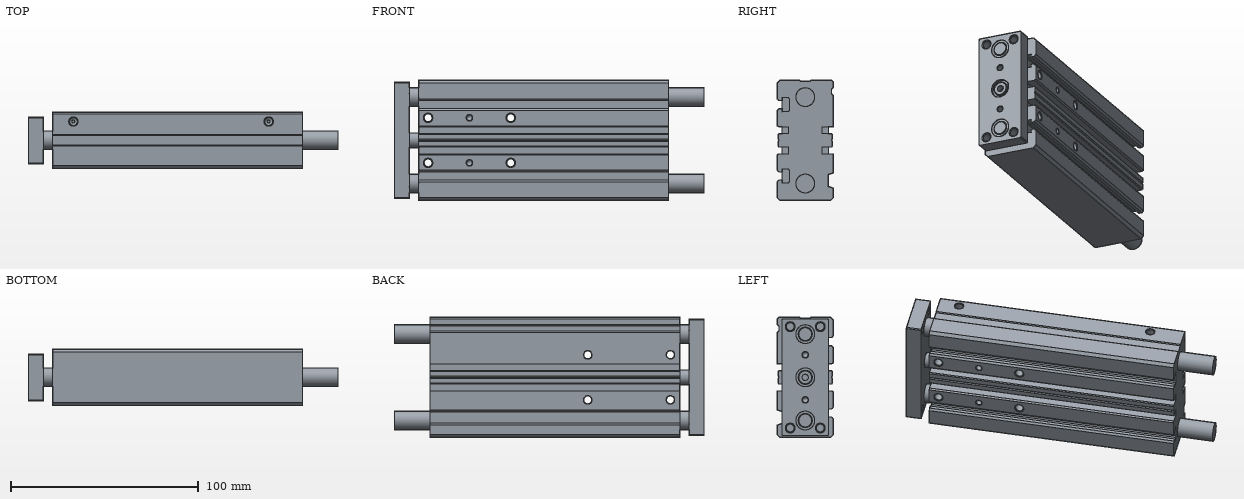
import cadquery as cq
import math


TOTAL_LENGTH = 165.0
PLATE_THICKNESS = 8.0
PLATE_GAP = 5.0
HOUSING_LENGTH = 133.0
HOUSING_START = PLATE_THICKNESS + PLATE_GAP
HOUSING_END = HOUSING_START + HOUSING_LENGTH

HOUSING_WIDTH = 30.0
HOUSING_HEIGHT = 64.0
HALF_WIDTH = HOUSING_WIDTH / 2
HALF_HEIGHT = HOUSING_HEIGHT / 2
CORNER_CHAMFER = 1.5
BACK_TOP_CHAMFER = 1.0

TOP_CHANNEL_HALF_WIDTH = 3.0
TOP_CHANNEL_FLOOR_HALF_WIDTH = 2.5
TOP_CHANNEL_DEPTH = 0.5

RIB_HALF_HEIGHT = 3.6
RIB_SETBACK = 0.5
RIB_CHAMFER = 0.5
RIB_NOTCH_HALF_HEIGHT = 0.6
RIB_NOTCH_DEPTH = 0.5
CENTER_SLOT_TOP = 7.2
CENTER_SLOT_DEPTH = 6.0
CENTER_SLOT_LIP_DEPTH = 1.0
CENTER_SLOT_LIP_HEIGHT = 0.5

T_SLOT_Z = 19.0
T_SLOT_DEPTH = 6.6
T_SLOT_THROAT_HALF_HEIGHT = 2.1
T_SLOT_CAVITY_HALF_HEIGHT = 3.7
T_SLOT_LIP_THICKNESS = 2.8
T_SLOT_MOUTH_CHAMFER = 1.0
T_SLOT_FLOOR_CHAMFER = 0.6

BACK_SLOT_Z = -21.4
BACK_SLOT_DEPTH = 3.0
BACK_SLOT_FLOOR_HALF_HEIGHT = 3.0
BACK_SLOT_MOUTH_HALF_HEIGHT = 4.0
BACK_GROOVE_Z = 26.0
BACK_GROOVE_DEPTH = 1.0
BACK_GROOVE_FLOOR_HALF_HEIGHT = 1.3
BACK_GROOVE_MOUTH_HALF_HEIGHT = 2.0

SIDE_HOLE_SPACING_Z = 24.0
MOUNT_HOLE_X = (18.0, 62.0)
MOUNT_HOLE_DIAMETER = 4.2
MOUNT_HOLE_MOUTH_DIAMETER = 5.0
LOCATING_HOLE_X = 40.0
LOCATING_HOLE_DIAMETER = 3.0
LOCATING_HOLE_MOUTH_DIAMETER = 3.5
LOCATING_HOLE_DEPTH = 6.0
DRILL_POINT_ANGLE = 118.0

PORT_X = (24.0, 128.0)
PORT_Y = 10.0
PORT_DIAMETER = 4.2
PORT_MOUTH_DIAMETER = 5.0
PORT_DEPTH = 6.0
PORT_PASSAGE_DIAMETER = 1.5
PORT_PASSAGE_DEPTH = 10.0

GUIDE_ROD_SPACING = 46.0
GUIDE_ROD_DIAMETER = 10.0
PISTON_ROD_DIAMETER = 8.0
PISTON_ROD_TIP_X = 0.3
PISTON_ROD_END_X = HOUSING_START + HOUSING_LENGTH / 2
PISTON_SOCKET_DIAMETER = 3.3
PISTON_SOCKET_DEPTH = 4.0
ROD_TIP_BASE_DIAMETER = 7.5
ROD_TIP_FACE_DIAMETER = 6.9
ROD_TIP_BEVEL = (ROD_TIP_BASE_DIAMETER - ROD_TIP_FACE_DIAMETER) / 2

PLATE_WIDTH = 25.0
PLATE_HEIGHT = 62.0
PLATE_CHAMFER = 0.5
PLATE_CORNER_HOLE_SPACING_Y = 16.0
PLATE_CORNER_HOLE_SPACING_Z = 54.0
PLATE_CORNER_HOLE_DIAMETER = 4.2
PLATE_CORNER_HOLE_MOUTH_DIAMETER = 5.2
PLATE_LOCATING_HOLE_SPACING = 24.0
PISTON_RECESS_DIAMETER = 10.0
PISTON_RECESS_DEPTH = 1.5


def along_x(sketch_x, z=0.0):
    """Workplane facing +X, with local axes along Y and Z."""
    return cq.Workplane("YZ", origin=(sketch_x, 0, z))


def x_cylinder(diameter, start, end, z=0.0):
    return along_x(start, z=z).circle(diameter / 2).extrude(end - start)


def housing_prism(points):
    """Prism along the whole housing from (y, z) points."""
    return along_x(HOUSING_START).polyline(points).close().extrude(HOUSING_LENGTH)


def pair(spacing):
    return (-spacing / 2, spacing / 2)


def bevel_hole(point, direction, diameter, mouth_diameter, depth):
    """Round hole with a 45-degree bevel at its mouth."""
    bevel = (mouth_diameter - diameter) / 2
    start, axis = cq.Vector(*point), cq.Vector(*direction)
    bore = cq.Solid.makeCylinder(diameter / 2, depth, start, axis)
    mouth = cq.Solid.makeCone(mouth_diameter / 2, diameter / 2, bevel, start, axis)
    return bore.fuse(mouth)


def drilled_hole(point, direction, diameter, mouth_diameter, depth):
    """Blind bevelled hole with a conical bottom."""
    start, axis = cq.Vector(*point), cq.Vector(*direction)
    point_depth = diameter / 2 / math.tan(math.radians(DRILL_POINT_ANGLE / 2))
    drill_point = cq.Solid.makeCone(diameter / 2, 0, point_depth, start + axis * depth, axis)
    return bevel_hole(point, direction, diameter, mouth_diameter, depth).fuse(drill_point)



def housing_blank():
    w, h = HALF_WIDTH, HALF_HEIGHT
    c, b = CORNER_CHAMFER, BACK_TOP_CHAMFER
    return housing_prism([
        (-w, -h + c), (-w + c, -h), (w - c, -h), (w, -h + c),
        (w, h - b), (w - b, h), (-w + c, h), (-w, h - c),
    ])


def top_channel():
    floor_z = HALF_HEIGHT - TOP_CHANNEL_DEPTH
    return housing_prism([
        (-TOP_CHANNEL_HALF_WIDTH, HALF_HEIGHT),
        (-TOP_CHANNEL_FLOOR_HALF_WIDTH, floor_z),
        (TOP_CHANNEL_FLOOR_HALF_WIDTH, floor_z),
        (TOP_CHANNEL_HALF_WIDTH, HALF_HEIGHT),
    ])


def center_slot(side, up):
    """Slot beside the rib, and half of the rib's outer face; side is the Y sign, up the Z sign."""
    face = side * HALF_WIDTH
    floor = side * (HALF_WIDTH - CENTER_SLOT_DEPTH)
    rib_face = HALF_WIDTH - RIB_SETBACK
    lip_height = CENTER_SLOT_LIP_HEIGHT if side < 0 else 0.0
    points = [
        (floor, up * RIB_HALF_HEIGHT),
        (side * (rib_face - RIB_CHAMFER), up * RIB_HALF_HEIGHT),
        (side * rib_face, up * (RIB_HALF_HEIGHT - RIB_CHAMFER)),
        (side * rib_face, up * RIB_NOTCH_HALF_HEIGHT),
        (side * (rib_face - RIB_NOTCH_DEPTH), 0),
        (face, 0),
        (face, up * (CENTER_SLOT_TOP + lip_height)),
    ]
    if lip_height:
        points.append((side * (HALF_WIDTH - CENTER_SLOT_LIP_DEPTH), up * CENTER_SLOT_TOP))
    points.append((floor, up * CENTER_SLOT_TOP))
    return housing_prism(points)


def t_slot(z):
    face = -HALF_WIDTH
    floor = face + T_SLOT_DEPTH
    lip = face + T_SLOT_LIP_THICKNESS
    upper_half = [
        (face, T_SLOT_THROAT_HALF_HEIGHT + T_SLOT_MOUTH_CHAMFER),
        (face + T_SLOT_MOUTH_CHAMFER, T_SLOT_THROAT_HALF_HEIGHT),
        (lip, T_SLOT_THROAT_HALF_HEIGHT),
        (lip, T_SLOT_CAVITY_HALF_HEIGHT),
        (floor - T_SLOT_FLOOR_CHAMFER, T_SLOT_CAVITY_HALF_HEIGHT),
        (floor, T_SLOT_CAVITY_HALF_HEIGHT - T_SLOT_FLOOR_CHAMFER),
    ]
    upper = [(y, z + dz) for y, dz in upper_half]
    lower = [(y, z - dz) for y, dz in reversed(upper_half)]
    return housing_prism(upper + lower)


def back_slot(z, depth, floor_half_height, mouth_half_height):
    """Flared slot in the +Y side."""
    floor = HALF_WIDTH - depth
    return housing_prism([
        (HALF_WIDTH, z - mouth_half_height),
        (floor, z - floor_half_height),
        (floor, z + floor_half_height),
        (HALF_WIDTH, z + mouth_half_height),
    ])


def air_port(x):
    mouth = (x, PORT_Y, HALF_HEIGHT)
    down = (0, 0, -1)
    passage = cq.Solid.makeCylinder(
        PORT_PASSAGE_DIAMETER / 2, PORT_PASSAGE_DEPTH, cq.Vector(*mouth), cq.Vector(*down)
    )
    return drilled_hole(mouth, down, PORT_DIAMETER, PORT_MOUTH_DIAMETER, PORT_DEPTH).fuse(passage)


def make_housing():
    body = housing_blank().cut(top_channel())
    for up in (-1, 1):
        for side in (-1, 1):
            body = body.cut(center_slot(side, up))
        body = body.cut(t_slot(up * T_SLOT_Z))
    body = body.cut(back_slot(
        BACK_SLOT_Z, BACK_SLOT_DEPTH, BACK_SLOT_FLOOR_HALF_HEIGHT, BACK_SLOT_MOUTH_HALF_HEIGHT))
    body = body.cut(back_slot(
        BACK_GROOVE_Z, BACK_GROOVE_DEPTH, BACK_GROOVE_FLOOR_HALF_HEIGHT, BACK_GROOVE_MOUTH_HALF_HEIGHT))
    inward = (0, 1, 0)
    for z in pair(SIDE_HOLE_SPACING_Z):
        for x in MOUNT_HOLE_X:
            body = body.cut(cq.Workplane(bevel_hole(
                (x, -HALF_WIDTH, z), inward,
                MOUNT_HOLE_DIAMETER, MOUNT_HOLE_MOUTH_DIAMETER, HOUSING_WIDTH)))
        body = body.cut(cq.Workplane(drilled_hole(
            (LOCATING_HOLE_X, -HALF_WIDTH, z), inward,
            LOCATING_HOLE_DIAMETER, LOCATING_HOLE_MOUTH_DIAMETER, LOCATING_HOLE_DEPTH)))
    for x in PORT_X:
        body = body.cut(cq.Workplane(air_port(x)))
    for z in pair(GUIDE_ROD_SPACING):
        body = body.cut(x_cylinder(GUIDE_ROD_DIAMETER, HOUSING_START, HOUSING_END, z))
    return body.cut(x_cylinder(PISTON_ROD_DIAMETER, HOUSING_START, PISTON_ROD_END_X))



def rod_tip(start, z=0.0):
    """Bevelled end of a rod, widening toward +X."""
    return cq.Workplane(cq.Solid.makeCone(
        ROD_TIP_FACE_DIAMETER / 2, ROD_TIP_BASE_DIAMETER / 2, ROD_TIP_BEVEL,
        cq.Vector(start, 0, z), cq.Vector(1, 0, 0)))


def make_guide_rod(z):
    shaft = x_cylinder(GUIDE_ROD_DIAMETER, ROD_TIP_BEVEL, TOTAL_LENGTH, z)
    return shaft.union(rod_tip(0, z))


def make_piston_rod():
    """Piston rod whose shoulder rests on the back of the end plate."""
    shaft = x_cylinder(PISTON_ROD_DIAMETER, PLATE_THICKNESS, PISTON_ROD_END_X)
    neck = x_cylinder(ROD_TIP_BASE_DIAMETER, PISTON_ROD_TIP_X + ROD_TIP_BEVEL, PLATE_THICKNESS)
    socket_end = PISTON_ROD_TIP_X + PISTON_SOCKET_DEPTH
    socket = x_cylinder(PISTON_SOCKET_DIAMETER, PISTON_ROD_TIP_X, socket_end)
    return shaft.union(neck).union(rod_tip(PISTON_ROD_TIP_X)).cut(socket)



def make_end_plate():
    plate = along_x(0).rect(PLATE_WIDTH, PLATE_HEIGHT).extrude(PLATE_THICKNESS)
    plate = plate.edges("|X").chamfer(PLATE_CHAMFER)
    inward = (1, 0, 0)
    for y in pair(PLATE_CORNER_HOLE_SPACING_Y):
        for z in pair(PLATE_CORNER_HOLE_SPACING_Z):
            plate = plate.cut(cq.Workplane(bevel_hole(
                (0, y, z), inward,
                PLATE_CORNER_HOLE_DIAMETER, PLATE_CORNER_HOLE_MOUTH_DIAMETER, PLATE_THICKNESS)))
    for z in pair(PLATE_LOCATING_HOLE_SPACING):
        plate = plate.cut(cq.Workplane(drilled_hole(
            (0, 0, z), inward,
            LOCATING_HOLE_DIAMETER, LOCATING_HOLE_MOUTH_DIAMETER, LOCATING_HOLE_DEPTH)))
    for z in pair(GUIDE_ROD_SPACING):
        plate = plate.cut(x_cylinder(GUIDE_ROD_DIAMETER, 0, PLATE_THICKNESS, z))
    plate = plate.cut(x_cylinder(PISTON_RECESS_DIAMETER, 0, PISTON_RECESS_DEPTH))
    return plate.cut(x_cylinder(ROD_TIP_BASE_DIAMETER, 0, PLATE_THICKNESS))


housing = make_housing()
end_plate = make_end_plate()
piston_rod = make_piston_rod()
guide_rods = [make_guide_rod(z) for z in pair(GUIDE_ROD_SPACING)]

result = cq.Compound.makeCompound([
    housing.val(),
    end_plate.val(),
    piston_rod.val(),
    *[rod.val() for rod in guide_rods],
])